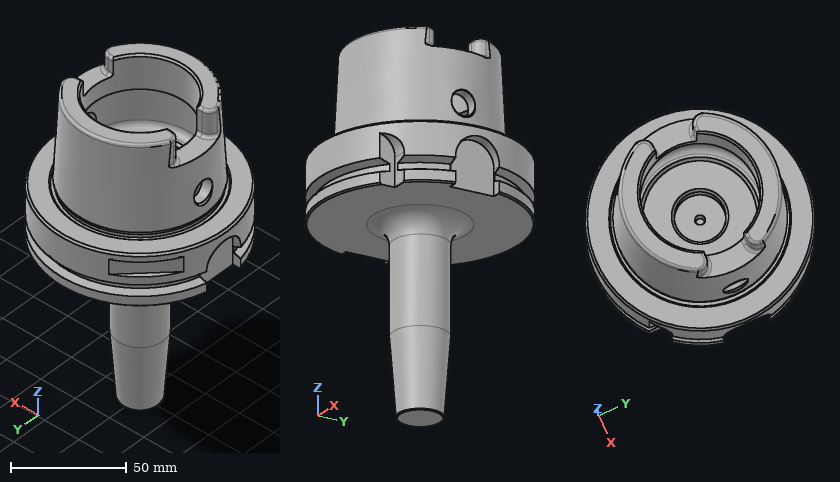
import cadquery as cq

SHANK_HEIGHT = 50.0
SHANK_BASE_RADIUS = 37.9
SHANK_TOP_RADIUS = 35.5
SHANK_EDGE_ROUND = 1.5
NECK_RADIUS = 37.2
NECK_HEIGHT = 1.0
NECK_CHAMFER_HEIGHT = 1.7
RELIEF_RADIUS = 39.6
RELIEF_DEPTH = 0.7

FLANGE_RADIUS = 50.0
FLANGE_HEIGHT = 29.0
FLANGE_TOP_CHAMFER = 1.0
FLANGE_BOTTOM_CHAMFER = 0.7
GROOVE_RADIUS = 46.0
GROOVE_TOP_LIP = 16.8
GROOVE_TOP = 18.7
GROOVE_BOTTOM = 22.0
GROOVE_BOTTOM_LIP = 23.3

TOTAL_HEIGHT = 170
NOSE_LENGTH = TOTAL_HEIGHT - SHANK_HEIGHT
NOSE_RADIUS = 13.5
NOSE_TIP_RADIUS = 10.5
NOSE_TAPER_HEIGHT = 38.2
NOSE_FILLET = 9.9
NOSE_TIP_CHAMFER = 0.5

BORE_RADIUS = 26.2
BORE_RIM_CHAMFER = 1.0
UNDERCUT_DEPTH = 19.2
UNDERCUT_RADIUS = 31.5
UNDERCUT_FLOOR = 5.6
UNDERCUT_FILLET = 3.7
BORE_FLOOR_RADIUS = 24.8
POCKET_RADIUS = 12.4
POCKET_LOWER_RADIUS = 11.2
POCKET_DEPTH = 6.8
COOLANT_RADIUS = 2.2
COOLANT_DEPTH = 6.8

DRIVE_HALF_WIDTH = 9.7
DRIVE_SHOULDER_X = 32.0
DRIVE_SHOULDER_HALF_WIDTH = 23.8
DRIVE_CORNER_RADIUS = 4.6
DRIVE_FLOOR_FILLET = 1.7
DRIVE_DEEP = 14.8
DRIVE_SHALLOW = 9.9

CROSS_HOLE_RADIUS = 6.0
CROSS_HOLE_HEIGHT = 15.0
COUNTERSINK_START_X = 36.7
COUNTERSINK_LENGTH = 1.7
COUNTERSINK_SLOPE = 45

KEY_WIDTH = 22.1
KEY_TOP = 5.1
KEY_FLOOR_X = 44.2
NOTCH_FLOOR_X = 31.3
NOTCH_WALL_Y = -31.3
NOTCH_RADIUS = 10.0
NOTCH_CENTER_DEPTH = 15.0
FLAT_DISTANCE = 47.3
FLAT_TOP = 4.0
FLAT_BOTTOM = 12.4
FLAT_ANGLE = 135

CLEAR = 8.5


def turned_body():
    return (
        cq.Workplane("YZ")
        .moveTo(0, -NOSE_LENGTH)
        .lineTo(NOSE_TIP_RADIUS - NOSE_TIP_CHAMFER, -NOSE_LENGTH)
        .lineTo(NOSE_TIP_RADIUS, -NOSE_LENGTH + NOSE_TIP_CHAMFER)
        .lineTo(NOSE_RADIUS, -NOSE_LENGTH + NOSE_TAPER_HEIGHT)
        .lineTo(NOSE_RADIUS, -FLANGE_HEIGHT - NOSE_FILLET)
        .radiusArc((NOSE_RADIUS + NOSE_FILLET, -FLANGE_HEIGHT), NOSE_FILLET)
        .lineTo(FLANGE_RADIUS - FLANGE_BOTTOM_CHAMFER, -FLANGE_HEIGHT)
        .lineTo(FLANGE_RADIUS, -FLANGE_HEIGHT + FLANGE_BOTTOM_CHAMFER)
        .lineTo(FLANGE_RADIUS, -GROOVE_BOTTOM_LIP)
        .lineTo(GROOVE_RADIUS, -GROOVE_BOTTOM)
        .lineTo(GROOVE_RADIUS, -GROOVE_TOP)
        .lineTo(FLANGE_RADIUS, -GROOVE_TOP_LIP)
        .lineTo(FLANGE_RADIUS, -FLANGE_TOP_CHAMFER)
        .lineTo(FLANGE_RADIUS - FLANGE_TOP_CHAMFER, 0)
        .lineTo(RELIEF_RADIUS, 0)
        .lineTo(RELIEF_RADIUS - RELIEF_DEPTH, -RELIEF_DEPTH)
        .lineTo(NECK_RADIUS, -RELIEF_DEPTH)
        .lineTo(NECK_RADIUS, NECK_HEIGHT)
        .lineTo(SHANK_BASE_RADIUS, NECK_HEIGHT + NECK_CHAMFER_HEIGHT)
        .lineTo(SHANK_TOP_RADIUS, SHANK_HEIGHT)
        .lineTo(0, SHANK_HEIGHT)
        .close()
        .revolve(360, (0, 0, 0), (0, 1, 0))
    )


def stepped_bore():
    undercut_top = SHANK_HEIGHT - UNDERCUT_DEPTH
    bore_floor = UNDERCUT_FLOOR - (BORE_RADIUS - BORE_FLOOR_RADIUS)
    pocket_floor = bore_floor - POCKET_DEPTH
    pocket_chamfer = POCKET_RADIUS - POCKET_LOWER_RADIUS
    coolant_floor = pocket_floor - COOLANT_DEPTH
    return (
        cq.Workplane("YZ")
        .moveTo(0, SHANK_HEIGHT)
        .lineTo(BORE_RADIUS + BORE_RIM_CHAMFER, SHANK_HEIGHT)
        .lineTo(BORE_RADIUS, SHANK_HEIGHT - BORE_RIM_CHAMFER)
        .lineTo(BORE_RADIUS, undercut_top)
        .lineTo(UNDERCUT_RADIUS, undercut_top)
        .lineTo(UNDERCUT_RADIUS, UNDERCUT_FLOOR + UNDERCUT_FILLET)
        .radiusArc((UNDERCUT_RADIUS - UNDERCUT_FILLET, UNDERCUT_FLOOR), UNDERCUT_FILLET)
        .lineTo(BORE_RADIUS, UNDERCUT_FLOOR)
        .lineTo(BORE_FLOOR_RADIUS, bore_floor)
        .lineTo(POCKET_RADIUS, bore_floor)
        .lineTo(POCKET_LOWER_RADIUS, bore_floor - pocket_chamfer)
        .lineTo(POCKET_LOWER_RADIUS, pocket_floor)
        .lineTo(COOLANT_RADIUS, pocket_floor)
        .lineTo(COOLANT_RADIUS, coolant_floor)
        .lineTo(0, coolant_floor)
        .close()
        .revolve(360, (0, 0, 0), (0, 1, 0))
    )


def drive_slot(side, depth):
    """T-shaped slot opening outward in the direction side * X."""
    inner_x = BORE_RADIUS - CLEAR
    outer_x = SHANK_BASE_RADIUS + CLEAR
    half = DRIVE_HALF_WIDTH
    wide = DRIVE_SHOULDER_HALF_WIDTH
    outline = [
        (inner_x, -half),
        (DRIVE_SHOULDER_X, -half),
        (DRIVE_SHOULDER_X, -wide),
        (outer_x, -wide),
        (outer_x, wide),
        (DRIVE_SHOULDER_X, wide),
        (DRIVE_SHOULDER_X, half),
        (inner_x, half),
    ]
    corner_box = cq.selectors.BoxSelector(
        (inner_x + CLEAR, -wide + CLEAR, 0),
        (outer_x - CLEAR, wide - CLEAR, depth + CLEAR),
    )
    slot = (
        cq.Workplane("XY")
        .polyline(outline)
        .close()
        .extrude(depth + CLEAR)
        .edges("|Z")
        .edges(corner_box)
        .fillet(DRIVE_CORNER_RADIUS)
        .faces("<Z")
        .edges()
        .fillet(DRIVE_FLOOR_FILLET)
        .translate((0, 0, SHANK_HEIGHT - depth))
    )
    return slot if side > 0 else slot.rotate((0, 0, 0), (0, 0, 1), 180)


def key_slot(side):
    """Round-topped slot in the flange rim, open at the flange underside."""
    radius = KEY_WIDTH / 2
    center_z = -KEY_TOP - radius
    leg = FLANGE_HEIGHT + center_z + CLEAR
    return (
        cq.Workplane("YZ", origin=(side * KEY_FLOOR_X, 0, center_z))
        .moveTo(-radius, -leg)
        .lineTo(-radius, 0)
        .threePointArc((0, radius), (radius, 0))
        .lineTo(radius, -leg)
        .close()
        .extrude(side * CLEAR)
    )


def cross_hole():
    return (
        cq.Workplane("YZ", origin=(0, 0, CROSS_HOLE_HEIGHT))
        .circle(CROSS_HOLE_RADIUS)
        .extrude(SHANK_BASE_RADIUS + CLEAR, both=True)
    )


def cross_hole_countersink(side):
    """Cone widening outward at the mouth of the cross hole."""
    return (
        cq.Workplane("YZ", origin=(side * COUNTERSINK_START_X, 0, CROSS_HOLE_HEIGHT))
        .circle(CROSS_HOLE_RADIUS)
        .extrude(side * COUNTERSINK_LENGTH, taper=-COUNTERSINK_SLOPE)
    )


def index_notch():
    leg = FLANGE_HEIGHT - NOTCH_CENTER_DEPTH + CLEAR
    return (
        cq.Workplane("YZ", origin=(NOTCH_FLOOR_X, NOTCH_WALL_Y - NOTCH_RADIUS, -NOTCH_CENTER_DEPTH))
        .moveTo(-NOTCH_RADIUS, -leg)
        .lineTo(-NOTCH_RADIUS, 0)
        .threePointArc((0, NOTCH_RADIUS), (NOTCH_RADIUS, 0))
        .lineTo(NOTCH_RADIUS, -leg)
        .close()
        .extrude(FLANGE_RADIUS)
    )


def chip_flat():
    return (
        cq.Workplane("XY", origin=(0, 0, -FLAT_BOTTOM))
        .center(FLAT_DISTANCE + CLEAR / 2, 0)
        .rect(CLEAR, 2 * FLANGE_RADIUS)
        .extrude(FLAT_BOTTOM - FLAT_TOP)
        .rotate((0, 0, 0), (0, 0, 1), FLAT_ANGLE)
    )


body = turned_body()
body = body.cut(drive_slot(-1, DRIVE_DEEP)).cut(drive_slot(1, DRIVE_SHALLOW))
body = body.faces(">Z").edges().fillet(SHANK_EDGE_ROUND)
body = body.cut(stepped_bore()).cut(cross_hole())
for side in (-1, 1):
    body = body.cut(cross_hole_countersink(side)).cut(key_slot(side))
result = body.cut(index_notch()).cut(chip_flat())